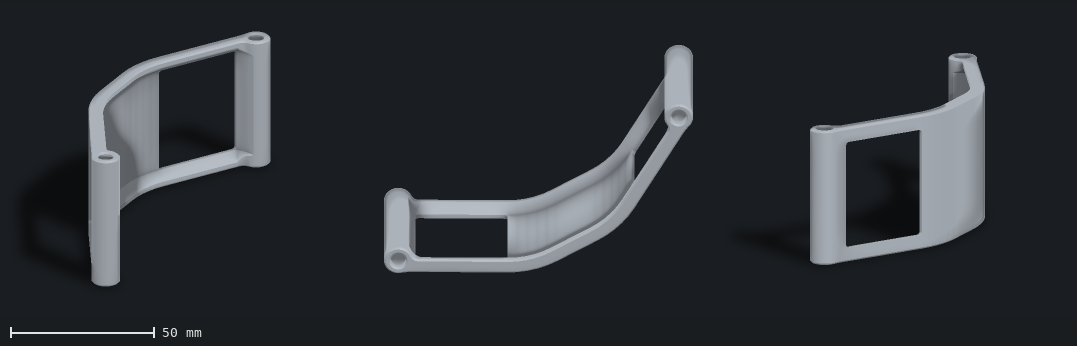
import cadquery as cq
import math

length = 122.3
depth = 32.6
height = 48.0
edge_chamfer = 0.6

eye_radius = 5.0
hole_radius = 2.7
eye_x = depth - eye_radius
eye_y = length / 2 - eye_radius

thickness = 5.0
arm_angle = 30.0
bend_radius = 35.0
flat_half_length = 8.0
neck_outer_radius = 20.0
neck_inner_radius = 2.9

window_height = 37.9
window_length = 32.0
window_corner_radius = 1.2

skin = 1.5
trough_slope = 40.0

relief_exit_angle = -72.5
relief_bow = 0.5
relief_reach = 11.0
relief_depth = 4.9

sin_arm = math.sin(math.radians(arm_angle))
cos_arm = math.cos(math.radians(arm_angle))
along_arm = (sin_arm, cos_arm)
into_arm = (cos_arm, -sin_arm)

bend_end = (bend_radius * (1 - cos_arm), flat_half_length + bend_radius * sin_arm)
arm_length = (eye_x - bend_end[0]) * sin_arm + (eye_y - bend_end[1]) * cos_arm


def arm_point(distance, inset):
    """Plan point at a distance along the arm from the bend and an inset from its outer face."""
    return (
        bend_end[0] + distance * along_arm[0] + inset * into_arm[0],
        bend_end[1] + distance * along_arm[1] + inset * into_arm[1],
    )


def mirror_y(point):
    """Plan point reflected to the other end of the strap."""
    return (point[0], -point[1])


def both_ends(shape):
    """Join a shape at the +Y end with its mirror image at the -Y end."""
    return shape.union(shape.mirror("XZ"))


def strap_path(reach):
    """Wire along the outer face, reaching the given distance up both arms."""
    half_turn = math.radians(arm_angle / 2)
    start = arm_point(reach, 0)
    middle = (
        bend_radius * (1 - math.cos(half_turn)),
        flat_half_length + bend_radius * math.sin(half_turn),
    )
    flat_end = (0, flat_half_length)
    return (
        cq.Workplane("XY")
        .moveTo(*mirror_y(start))
        .lineTo(*mirror_y(bend_end))
        .threePointArc(mirror_y(middle), mirror_y(flat_end))
        .lineTo(*flat_end)
        .threePointArc(middle, bend_end)
        .lineTo(*start)
    )


def strap_band(outer_inset, inner_inset, reach, outer_height, inner_height):
    """Band following the strap, with its own height at the outer and the inner side."""
    start = mirror_y(arm_point(reach, 0))
    plane = cq.Plane(
        origin=(start[0], start[1], 0),
        xDir=(into_arm[0], -into_arm[1], 0),
        normal=(-along_arm[0], along_arm[1], 0),
    )
    section = cq.Workplane(plane).polyline([
        (outer_inset, -outer_height / 2),
        (inner_inset, -inner_height / 2),
        (inner_inset, inner_height / 2),
        (outer_inset, outer_height / 2),
    ]).close()
    return section.sweep(strap_path(reach))


def eye_cylinder(radius):
    """Full-height cylinder on the axis of the +Y eye."""
    return cq.Workplane("XY").center(eye_x, eye_y).circle(radius).extrude(height / 2, both=True)


def fillet_necks(body, inset, radius):
    """Blend both arms into their eyes along the face at the given inset."""
    corner = arm_point(arm_length, inset)
    for point in (corner, mirror_y(corner)):
        nearest = cq.selectors.NearestToPointSelector((point[0], point[1], 0))
        body = body.edges("|Z").edges(nearest).fillet(radius)
    return body


def window():
    """Rounded opening through one arm, starting where the bend ends."""
    center = arm_point(window_length / 2, thickness / 2)
    return (
        cq.Workplane("XY")
        .box(window_length, 3 * thickness, window_height)
        .edges("|Y")
        .fillet(window_corner_radius)
        .rotate((0, 0, 0), (0, 0, 1), 90 - arm_angle)
        .translate((center[0], center[1], 0))
    )


def trough():
    """Sloped recess along the inner face that leaves the outer skin and stops short of the eyes."""
    rise = (thickness - skin) * math.tan(math.radians(trough_slope))
    reach = window_length - relief_reach / 2
    return strap_band(skin, thickness, reach, window_height, window_height + 2 * rise)


def eye_relief():
    """End of the trough beside one eye, with a bowed wall that grazes the eye."""
    rise = relief_depth * math.tan(math.radians(trough_slope))
    wall_start = arm_point(window_length, skin)
    turn = math.radians(relief_exit_angle)
    wall_end = (eye_x + eye_radius * math.cos(turn), eye_y + eye_radius * math.sin(turn))
    outline = (
        cq.Workplane("XY")
        .moveTo(*wall_start)
        .sagittaArc(wall_end, relief_bow)
        .lineTo(wall_end[0] + relief_reach, wall_end[1])
        .lineTo(*arm_point(window_length - relief_reach, thickness + relief_reach))
        .lineTo(*arm_point(window_length - relief_reach, skin))
        .close()
    )
    core = outline.extrude(window_height / 2, both=True)
    cap = outline.toPending().extrude(rise, taper=90 - trough_slope).translate((0, 0, window_height / 2))
    return core.union(cap).union(cap.mirror("XY"))


body = strap_band(0, thickness, arm_length, height, height).union(both_ends(eye_cylinder(eye_radius)))
body = fillet_necks(body, 0, neck_outer_radius)
body = fillet_necks(body, thickness, neck_inner_radius)
body = body.cut(both_ends(eye_cylinder(hole_radius)))
body = body.faces("|Z").edges().chamfer(edge_chamfer)
body = body.cut(trough().union(both_ends(eye_relief())))
result = body.cut(both_ends(window()))